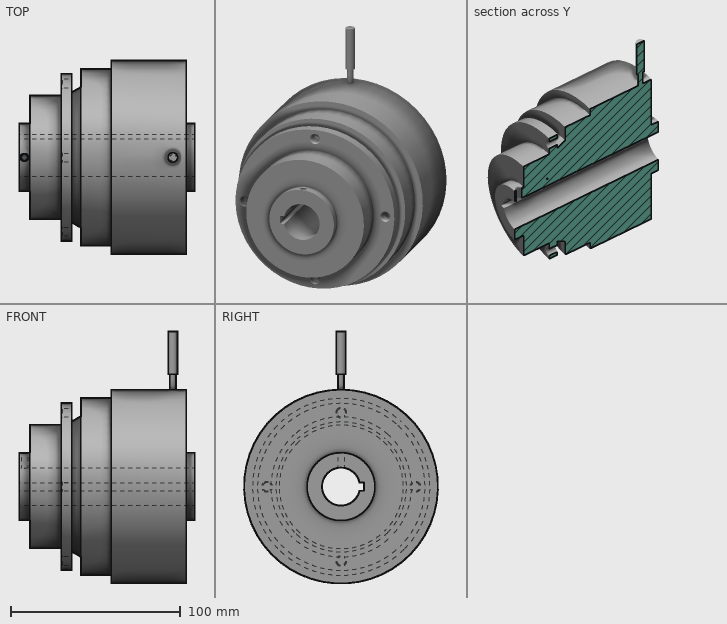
import cadquery as cq

hub_length = 6.35
collar_end = 24.75
flange_end = 31.1
cone_end = 36.4
shoulder_end = 54.3
body_end = 98.6
total_length = 103.63

hub_diameter = 40.0
collar_diameter = 73.0
flange_diameter = 98.6
cone_small_diameter = 76.8
cone_large_diameter = 82.8
shoulder_diameter = 104.4
body_diameter = 114.3

bore_diameter = 22.225
keyway_width = 4.8
keyway_reach = 13.5

flange_hole_count = 4
flange_hole_circle_radius = 43.65
flange_hole_diameter = 5.1
flange_hole_mouth_diameter = 6.35

set_screw_x = hub_length / 2
set_screw_diameter = 3.8
set_screw_mouth_diameter = 4.8

lead_x = 90.6
wire_diameter = 3.8
wire_embedment = 4.0
sleeve_diameter = 5.6
sleeve_length = 25.4
lead_top = 91.44


def make_turned_body():
    """Stepped body of revolution, drawn as (X, radius) in the XZ plane and spun about X."""
    steps = [
        (0, hub_length, hub_diameter, hub_diameter),
        (hub_length, collar_end, collar_diameter, collar_diameter),
        (collar_end, flange_end, flange_diameter, flange_diameter),
        (flange_end, cone_end, cone_small_diameter, cone_large_diameter),
        (cone_end, shoulder_end, shoulder_diameter, shoulder_diameter),
        (shoulder_end, body_end, body_diameter, body_diameter),
        (body_end, total_length, hub_diameter, hub_diameter),
    ]
    outline = cq.Workplane("XZ").moveTo(0, 0)
    for start, end, start_diameter, end_diameter in steps:
        outline = outline.lineTo(start, start_diameter / 2)
        outline = outline.lineTo(end, end_diameter / 2)
    outline = outline.lineTo(total_length, 0).close()
    return outline.revolve(360, (0, 0, 0), (1, 0, 0))


def make_lead():
    """Wire leaving the top of the body, with a thicker sleeve on its upper end."""
    sleeve_bottom = lead_top - sleeve_length
    wire_bottom = body_diameter / 2 - wire_embedment
    wire = (
        cq.Workplane("XY", origin=(lead_x, 0, wire_bottom))
        .circle(wire_diameter / 2)
        .extrude(sleeve_bottom - wire_bottom)
    )
    sleeve = (
        cq.Workplane("XY", origin=(lead_x, 0, sleeve_bottom))
        .circle(sleeve_diameter / 2)
        .extrude(sleeve_length)
    )
    return wire.union(sleeve)


def make_keyed_bore():
    """Through bore with a keyway on its +Y side."""
    bore = cq.Workplane("YZ").circle(bore_diameter / 2).extrude(total_length)
    keyway = cq.Workplane("XY").box(
        total_length, keyway_reach, keyway_width, centered=(False, False, True)
    )
    return bore.union(keyway)


def make_countersunk_hole(entry, direction, depth, diameter, mouth_diameter):
    """Drilled hole with a 45 degree chamfer at its mouth."""
    chamfer = (mouth_diameter - diameter) / 2
    point = cq.Vector(*entry)
    axis = cq.Vector(*direction)
    drill = cq.Solid.makeCylinder(diameter / 2, depth, point, axis)
    mouth = cq.Solid.makeCone(mouth_diameter / 2, diameter / 2, chamfer, point, axis)
    return cq.Workplane("XY").newObject([drill.fuse(mouth)])


def make_flange_holes():
    """List of the evenly spaced holes through the flange, opening on its -X face."""
    first_hole = make_countersunk_hole(
        (collar_end, 0, flange_hole_circle_radius),
        (1, 0, 0),
        flange_end - collar_end,
        flange_hole_diameter,
        flange_hole_mouth_diameter,
    )
    pitch_angle = 360 / flange_hole_count
    return [
        first_hole.rotate((0, 0, 0), (1, 0, 0), index * pitch_angle)
        for index in range(flange_hole_count)
    ]


def make_set_screw_hole():
    """Radial hole from the top of the hub into the bore."""
    return make_countersunk_hole(
        (set_screw_x, 0, hub_diameter / 2),
        (0, 0, -1),
        hub_diameter / 2,
        set_screw_diameter,
        set_screw_mouth_diameter,
    )


result = make_turned_body().union(make_lead())
result = result.cut(make_keyed_bore())
for hole in make_flange_holes():
    result = result.cut(hole)
result = result.cut(make_set_screw_hole())